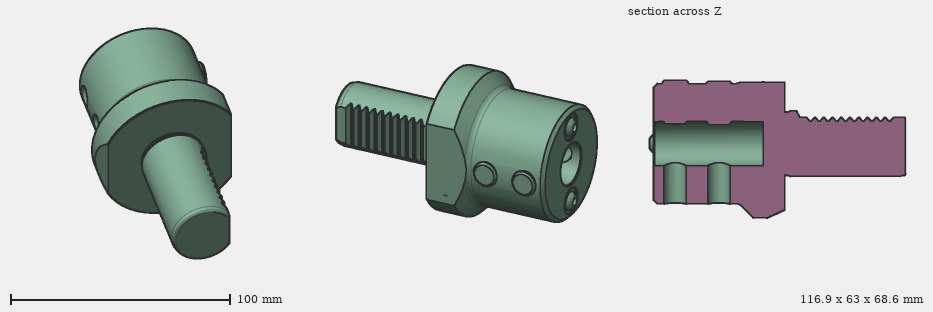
import cadquery as cq
import math


shank_length = 55.0
nose_x = -60.0
nozzle_protrusion = 1.9

head_radius = 55.0 / 2
nose_chamfer = 1.8
flange_radius = 34.0
flange_rim_length = 14.4
flange_rear_chamfer = 0.4
cone_angle = math.radians(45)
head_to_cone_radius = 4.0
side_flat_y = 28.0
facet_length = 8.3
facet_depth = 3.7

shank_radius = 30.0 / 2
neck_radius = 29.1 / 2
neck_length = 1.2
neck_groove_start = 0.4
neck_groove_end = 1.0
neck_groove_depth = 0.18
neck_taper_end = 2.3
lead_taper_start = 52.3
shank_end_fillet = 0.8
shank_end_inset = shank_end_fillet * (1 - math.sqrt(0.5))

rack_flat_y = 12.0
rack_ramp_top_x = 5.3
rack_ramp_bottom_x = 6.8
groove_count = 10
first_groove_x = 11.7
last_groove_x = 47.7
groove_mouth = 3.7
groove_pitch = (last_groove_x - first_groove_x) / (groove_count - 1)
groove_root = 0.6
groove_depth = 1.8

bore_radius = 20.0 / 2
bore_depth = 50.0
mouth_chamfer = 0.5
cross_hole_radius = 10.0 / 2
screw_radius = 12.0 / 2
screw_length = 20.0
screw_outer_chamfer = (screw_radius * 2 - 10.0) / 2
screw_tip_chamfer = (screw_radius * 2 - 9.0) / 2
clamp_screws = [(-50.0, 29.0), (-30.0, 28.5)]

nozzle_offset_z = 18.7
nozzle_pocket_radius = 12.0 / 2
nozzle_ball_radius = 10.0 / 2
nozzle_hole_radius = 4.1 / 2
nozzle_hole_depth = 3.5
seal_ball_radius = 8.0 / 2
seal_ball_x = -8.1
seal_ball_protrusion = 0.6
side_ball_radius = 4.1 / 2
side_ball_x = -9.9
side_ball_z = -14.6
side_ball_protrusion = 0.1

oversize = 2 * flange_radius


def x_cylinder(x_start, length, radius, z=0):
    """Cylinder along +X, centred on Y = 0."""
    return cq.Workplane("YZ", origin=(x_start, 0, z)).circle(radius).extrude(length)


def ball(radius, x, y, z):
    """Sphere centred on the given point."""
    return cq.Workplane("XY", origin=(x, y, z)).sphere(radius)


def turned_body():
    """Head, cone, flange and shank as one turned profile."""
    cone_start_x = -flange_rim_length - (flange_radius - head_radius) / math.tan(cone_angle)
    mid_angle = cone_angle / 2
    tangent_length = head_to_cone_radius * math.tan(mid_angle)
    fillet_start_x = cone_start_x - tangent_length
    fillet_mid = (
        fillet_start_x + head_to_cone_radius * math.sin(mid_angle),
        head_radius + head_to_cone_radius * (1 - math.cos(mid_angle)),
    )
    fillet_end = (
        cone_start_x + tangent_length * math.cos(cone_angle),
        head_radius + tangent_length * math.sin(cone_angle),
    )
    profile = (
        cq.Workplane("XY")
        .moveTo(nose_x, 0)
        .lineTo(nose_x, head_radius - nose_chamfer)
        .lineTo(nose_x + nose_chamfer, head_radius)
        .lineTo(fillet_start_x, head_radius)
        .threePointArc(fillet_mid, fillet_end)
        .lineTo(-flange_rim_length, flange_radius)
        .lineTo(-flange_rear_chamfer, flange_radius)
        .lineTo(0, flange_radius - flange_rear_chamfer)
        .lineTo(0, neck_radius)
        .lineTo(neck_groove_start, neck_radius)
        .lineTo((neck_groove_start + neck_groove_end) / 2, neck_radius - neck_groove_depth)
        .lineTo(neck_groove_end, neck_radius)
        .lineTo(neck_length, neck_radius)
        .lineTo(neck_taper_end, shank_radius)
        .lineTo(lead_taper_start, shank_radius)
        .lineTo(shank_length - shank_end_fillet, neck_radius)
        .threePointArc(
            (shank_length - shank_end_inset, neck_radius - shank_end_inset),
            (shank_length, neck_radius - shank_end_fillet),
        )
        .lineTo(shank_length, 0)
        .close()
    )
    return profile.revolve(360, (0, 0, 0), (1, 0, 0))


def side_flat():
    """Block that planes the +Y side of the flange."""
    block = cq.Workplane("XY").box(oversize, oversize, oversize)
    return block.translate((-oversize / 2, side_flat_y + oversize / 2, 0))


def flange_facet():
    """Wedge that slopes the -Y side of the flange down to its rear face."""
    return (
        cq.Workplane("XY")
        .moveTo(-facet_length, -flange_radius)
        .lineTo(0, -flange_radius + facet_depth)
        .lineTo(0, -oversize)
        .lineTo(-facet_length, -oversize)
        .close()
        .extrude(flange_radius, both=True)
    )


def rack():
    """Flat with a ramped end on the +Y side of the shank, and its tooth grooves."""
    cut = (
        cq.Workplane("XY")
        .moveTo(rack_ramp_top_x, shank_radius)
        .lineTo(rack_ramp_bottom_x, rack_flat_y)
        .lineTo(shank_length - shank_end_fillet, rack_flat_y)
        .threePointArc(
            (shank_length - shank_end_inset, rack_flat_y - shank_end_inset),
            (shank_length, rack_flat_y - shank_end_fillet),
        )
        .lineTo(shank_length, shank_radius)
        .close()
        .extrude(shank_radius, both=True)
    )
    for index in range(groove_count):
        centre_x = first_groove_x + index * groove_pitch
        groove = (
            cq.Workplane("XY")
            .moveTo(centre_x - groove_mouth / 2, rack_flat_y)
            .lineTo(centre_x - groove_root / 2, rack_flat_y - groove_depth)
            .lineTo(centre_x + groove_root / 2, rack_flat_y - groove_depth)
            .lineTo(centre_x + groove_mouth / 2, rack_flat_y)
            .close()
            .extrude(shank_radius, both=True)
        )
        cut = cut.union(groove)
    return cut


def mouth_cone(radius, z=0):
    """45 degree countersink in the nose face for a hole of the given radius."""
    return (
        cq.Workplane("YZ", origin=(nose_x, 0, z))
        .circle(radius + mouth_chamfer)
        .workplane(offset=mouth_chamfer)
        .circle(radius)
        .loft()
    )


def cross_hole(x):
    """Hole along Y through the whole head; a clamping screw fills its +Y end."""
    start = cq.Workplane("XZ", origin=(x, 0, 0))
    return start.circle(cross_hole_radius).extrude(flange_radius, both=True)


def clamp_screw(x, outer_y):
    """Set screw that stands proud of the head and reaches into the bore."""
    return (
        cq.Workplane("XZ", origin=(x, outer_y, 0))
        .circle(screw_radius)
        .extrude(screw_length)
        .faces(">Y")
        .chamfer(screw_outer_chamfer)
        .faces("<Y")
        .chamfer(screw_tip_chamfer)
    )


body = turned_body().cut(side_flat()).cut(flange_facet()).cut(rack())

body = body.cut(x_cylinder(nose_x, bore_depth, bore_radius)).cut(mouth_cone(bore_radius))
for screw_x, screw_outer_y in clamp_screws:
    body = body.cut(cross_hole(screw_x))
    body = body.union(clamp_screw(screw_x, screw_outer_y))

nozzle_tip_x = nose_x - nozzle_protrusion
nozzle_ball_x = nozzle_tip_x + math.sqrt(nozzle_ball_radius**2 - nozzle_hole_radius**2)
nozzle_hole_start = nozzle_ball_x - nozzle_ball_radius
nozzle_hole_length = nozzle_tip_x - nozzle_hole_start + nozzle_hole_depth
for nozzle_z in (nozzle_offset_z, -nozzle_offset_z):
    body = body.cut(mouth_cone(nozzle_pocket_radius, nozzle_z))
    body = body.union(ball(nozzle_ball_radius, nozzle_ball_x, 0, nozzle_z))
    body = body.cut(x_cylinder(nozzle_hole_start, nozzle_hole_length, nozzle_hole_radius, nozzle_z))

bottom_ball_z = -flange_radius - seal_ball_protrusion + seal_ball_radius
side_ball_y = side_flat_y + side_ball_protrusion - side_ball_radius
body = body.union(ball(seal_ball_radius, seal_ball_x, 0, bottom_ball_z))
body = body.union(ball(side_ball_radius, side_ball_x, side_ball_y, side_ball_z))

result = body